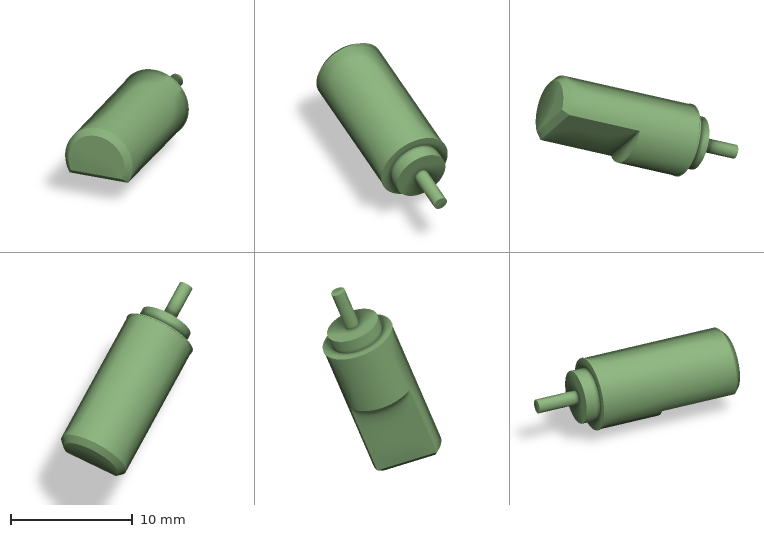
import cadquery as cq

body_diameter = 6.0
body_length = 12.3
rim_diameter = 6.1
rim_thickness = 0.1
boss_diameter = 4.45
boss_length = 1.2
shaft_diameter = 1.17
shaft_length = 3.5

flat_length = 7.0
flat_depth_below_axis = 1.5
front_chamfer = 0.5


def cylinder_along_y(diameter, length, start_y):
    """Solid cylinder on the Y axis, running from start_y towards +Y."""
    plane = cq.Plane(origin=(0, start_y, 0), xDir=(1, 0, 0), normal=(0, 1, 0))
    return cq.Workplane(plane).circle(diameter / 2).extrude(length)


def flatted_body():
    """Body with its underside flat, chamfered all around the front face."""
    cut_height = body_diameter / 2
    body = cylinder_along_y(body_diameter, body_length, 0)
    flat_cut = (
        cq.Workplane("XY")
        .box(body_diameter, flat_length, cut_height, centered=(True, False, False))
        .translate((0, 0, -flat_depth_below_axis - cut_height))
    )
    return body.cut(flat_cut).faces("<Y").chamfer(front_chamfer)


rim_start = body_length
boss_start = rim_start + rim_thickness
shaft_start = boss_start + boss_length

rim = cylinder_along_y(rim_diameter, rim_thickness, rim_start)
boss = cylinder_along_y(boss_diameter, boss_length, boss_start)
shaft = cylinder_along_y(shaft_diameter, shaft_length, shaft_start)

result = flatted_body().union(rim).union(boss).union(shaft)